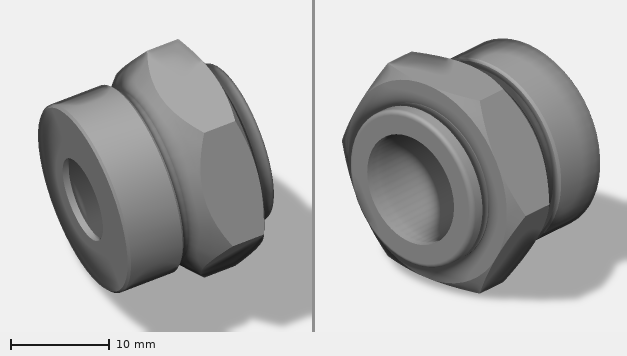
import cadquery as cq
import math

total_length = 17.7
hex_corner_diameter = 25.4

front_hole_diameter = 9.0
front_wall_thickness = 0.7
bore_diameter = 12.0

barrel_diameter = 20.47
barrel_length = 6.4
barrel_chamfer = 0.25

front_neck_diameter = 18.75
front_neck_end = 7.32

hex_back = 15.2
back_washer_thickness = 0.1
back_chamfer_angle = 30.0

back_neck_diameter = 13.13
flange_diameter = 17.07
flange_thickness = 1.52
flange_fillet = 0.48

corner_radius = hex_corner_diameter / 2
flat_radius = corner_radius * math.cos(math.radians(30))
back_washer_end = hex_back + back_washer_thickness
flange_start = total_length - flange_thickness


def cylinder(diameter, start, end):
    """Solid cylinder on the Y axis between two stations."""
    plane = cq.Plane(origin=(0, start, 0), xDir=(1, 0, 0), normal=(0, 1, 0))
    return cq.Workplane(plane).circle(diameter / 2).extrude(end - start)


def hex_collar():
    """Hexagon with a 45 degree front cone and a shallow back chamfer."""
    plane = cq.Plane(origin=(0, front_neck_end, 0), xDir=(1, 0, 0), normal=(0, 1, 0))
    prism = cq.Workplane(plane).polygon(6, hex_corner_diameter).extrude(hex_back - front_neck_end)
    neck_radius = front_neck_diameter / 2
    cone_end = front_neck_end + corner_radius - neck_radius
    back_drop = (corner_radius - flat_radius) * math.tan(math.radians(back_chamfer_angle))
    envelope = (
        cq.Workplane("XY")
        .moveTo(0, front_neck_end)
        .lineTo(neck_radius, front_neck_end)
        .lineTo(corner_radius, cone_end)
        .lineTo(corner_radius, hex_back - back_drop)
        .lineTo(flat_radius, hex_back)
        .lineTo(0, hex_back)
        .close()
        .revolve(360, (0, 0, 0), (0, 1, 0))
    )
    return prism.intersect(envelope)


barrel = cylinder(barrel_diameter, 0, barrel_length).edges().chamfer(barrel_chamfer)
front_neck = cylinder(front_neck_diameter, barrel_length, front_neck_end)
back_washer = cylinder(flange_diameter, hex_back, back_washer_end)
back_neck = cylinder(back_neck_diameter, back_washer_end, flange_start)
flange = cylinder(flange_diameter, flange_start, total_length).faces(">Y").edges().fillet(flange_fillet)

body = barrel
for section in (front_neck, hex_collar(), back_washer, back_neck, flange):
    body = body.union(section)

front_hole = cylinder(front_hole_diameter, 0, front_wall_thickness)
bore = cylinder(bore_diameter, front_wall_thickness, total_length)

result = body.cut(front_hole).cut(bore).translate((0, -total_length / 2, 0))